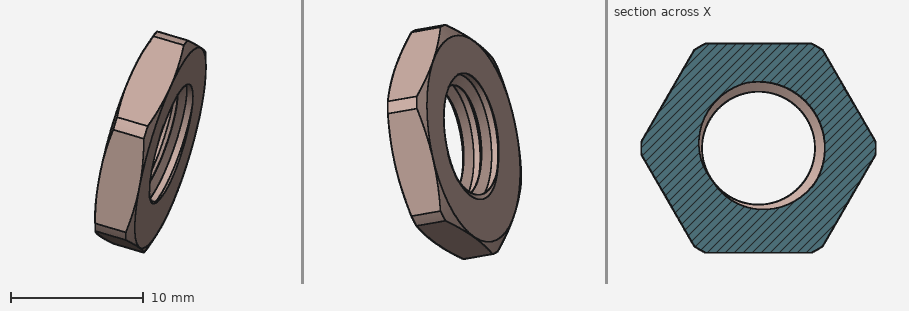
import cadquery as cq
import math

thickness = 3.2
hex_sides = 6
across_flats = 15.8
corner_diameter = 17.7
face_diameter = 15.77
chamfer_depth = 0.37

bore_diameter = 8.5
thread_diameter = 10.0
pitch = 1.5
extra_turns = 2
flank_angle = 32
crest_flat = 0.03
bore_overlap = 0.012
thread_phase = 11

bore_radius = bore_diameter / 2
thread_radius = thread_diameter / 2


def hex_prism():
    """Hexagon with a flat at top and bottom and a corner on the Y axis."""
    across_corners = across_flats / math.cos(math.pi / hex_sides)
    return cq.Workplane("YZ").polygon(hex_sides, across_corners).extrude(thickness)


def corner_envelope():
    """Turned disc that rounds the hexagon corners and bevels both faces."""
    face_radius = face_diameter / 2
    corner_radius = corner_diameter / 2
    half_section = [
        (0, 0),
        (0, face_radius),
        (chamfer_depth, corner_radius),
        (thickness - chamfer_depth, corner_radius),
        (thickness, face_radius),
        (thickness, 0),
    ]
    return cq.Workplane("XY").polyline(half_section).close().revolve(360, (0, 0, 0), (1, 0, 0))


def bore():
    return cq.Workplane("YZ").circle(bore_radius).extrude(thickness)


def thread_groove():
    """Flat-bottomed V groove swept along a helix running past both faces."""
    flank_slope = math.tan(math.radians(flank_angle))
    bore_half_width = (pitch - crest_flat) / 2
    root_half_width = bore_half_width - (thread_radius - bore_radius) * flank_slope
    inner_radius = bore_radius - bore_overlap
    inner_half_width = bore_half_width + bore_overlap * flank_slope
    section = [
        (inner_radius, -inner_half_width),
        (thread_radius, -root_half_width),
        (thread_radius, root_half_width),
        (inner_radius, inner_half_width),
    ]
    turns = math.ceil(thickness / pitch) + extra_turns
    helix = cq.Workplane(cq.Wire.makeHelix(pitch, turns * pitch, bore_radius))
    groove = cq.Workplane("XZ").polyline(section).close().sweep(helix, isFrenet=True)
    axis_swap_angle = 360 / 3
    groove = groove.rotate((0, 0, 0), (1, 1, 1), axis_swap_angle)
    return groove.rotate((0, 0, 0), (1, 0, 0), thread_phase).translate((-pitch, 0, 0))


result = hex_prism().intersect(corner_envelope()).cut(bore()).cut(thread_groove())